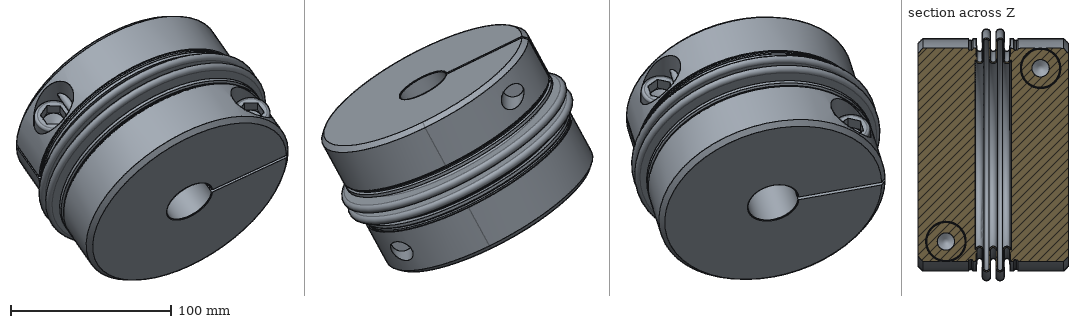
import cadquery as cq
import math


overall_length = 93.81
half_length = overall_length / 2
hub_radius = 145 / 2
bore_diameter = 32.0
bore_chamfer = 0.5
hub_chamfer = 3.0

crest_outer_radius = 157 / 2
wall_thickness = 1.05
inside_bend = 1.6
outside_bend = inside_bend + wall_thickness
fold_pitch = 2 * (inside_bend + outside_bend)
crest_centre_radius = crest_outer_radius - outside_bend
root_centre_radius = 66.25
root_positions = [-fold_pitch, 0.0, fold_pitch]
end_plate_radius = 68.0
end_plate_outer_face = fold_pitch + inside_bend
hub_inner_face = fold_pitch + outside_bend

groove_radius = 143.2 / 2
groove_valley_radius = 71.2
hub_shoulder = 15.4
groove_flat_end = 14.4
groove_valley = 13.4
collar_start = 12.5
collar_end = 10.5

slot_width = 2.5
slot_end = 12.0
slot_end_in_collar = 11.4
slot_step_radius = 71.5

screw_x = -29.5
screw_y = -54.0
head_diameter = 24.0
head_height = 16.0
head_top = 37.5
head_edge_fillet = 2.0
socket_width = 14.0
socket_depth = 8.0
socket_point_angle = 120.0
shank_diameter = 16.0
shank_length = 50.0
clearance_diameter = 16.3
counterbore_diameter = 25.0
tap_diameter = 14.0

pin_diameter = 5.6
pin_length = 24.0
pin_y = -43.0
pin_z = 42.0


def revolve_about_x(outline):
    solid = outline.close().revolve(360, (0, 0, 0), (1, 0, 0))
    return solid.rotate((0, 0, 0), (1, 0, 0), -90)


def rod(diameter, bottom, top):
    """Cylinder on the screw axis between two heights."""
    return (
        cq.Workplane("XY", origin=(screw_x, screw_y, bottom))
        .circle(diameter / 2)
        .extrude(top - bottom)
    )


def folded_solid(root_bend, crest_bend):
    """Solid of revolution under one skin of the bellows."""
    start = root_positions[0] - root_bend
    outline = cq.Workplane("XY").moveTo(start, 0).lineTo(start, root_centre_radius)
    for root in root_positions:
        outline = outline.threePointArc(
            (root, root_centre_radius - root_bend), (root + root_bend, root_centre_radius)
        )
        if root != root_positions[-1]:
            crest = root + fold_pitch / 2
            outline = (
                outline.lineTo(crest - crest_bend, crest_centre_radius)
                .threePointArc(
                    (crest, crest_centre_radius + crest_bend),
                    (crest + crest_bend, crest_centre_radius),
                )
                .lineTo(root + fold_pitch - root_bend, root_centre_radius)
            )
    return revolve_about_x(outline.lineTo(-start, 0))


def bellows_cavity():
    return folded_solid(outside_bend, inside_bend)


def bellows():
    return folded_solid(inside_bend, outside_bend).cut(bellows_cavity())


def hub_blank():
    """Hub at the -X end with its weld groove, collar and bellows end plate."""
    outline = (
        cq.Workplane("XY")
        .moveTo(-half_length, 0)
        .lineTo(-half_length, hub_radius - hub_chamfer)
        .lineTo(-half_length + hub_chamfer, hub_radius)
        .lineTo(-hub_shoulder, hub_radius)
        .lineTo(-hub_shoulder, groove_radius)
        .lineTo(-groove_flat_end, groove_radius)
        .lineTo(-groove_valley, groove_valley_radius)
        .lineTo(-collar_start, hub_radius)
        .lineTo(-collar_end, hub_radius)
        .lineTo(-collar_end, end_plate_radius)
        .lineTo(-end_plate_outer_face, end_plate_radius)
        .lineTo(-end_plate_outer_face, 0)
    )
    return revolve_about_x(outline)


def bore():
    radius = bore_diameter / 2
    outline = (
        cq.Workplane("XY")
        .moveTo(-half_length, 0)
        .lineTo(-half_length, radius + bore_chamfer)
        .lineTo(-half_length + bore_chamfer, radius)
        .lineTo(0, radius)
        .lineTo(0, 0)
    )
    return revolve_about_x(outline)


def slot_to(end, inner_radius, outer_radius):
    """Radial slot on the -Y side, from the outer end face to a distance from the middle plane."""
    return cq.Workplane("XY").box(
        half_length - end, outer_radius - inner_radius, slot_width, centered=(False, False, True)
    ).translate((-half_length, -outer_radius, 0))


def slot():
    through = slot_to(hub_inner_face, 0, root_centre_radius)
    hub_part = slot_to(slot_end, 0, slot_step_radius)
    collar_part = slot_to(slot_end_in_collar, slot_step_radius, crest_outer_radius)
    return through.union(hub_part).union(collar_part)


def screw_holes():
    counterbore = rod(counterbore_diameter, head_top - head_height, hub_radius)
    clearance = rod(clearance_diameter, 0, head_top - head_height)
    tapped = rod(tap_diameter, -hub_radius, 0)
    return counterbore.union(clearance).union(tapped)


def screw():
    head_bottom = head_top - head_height
    head = rod(head_diameter, head_bottom, head_top)
    head = head.faces(">Z").edges().fillet(head_edge_fillet)
    socket = (
        cq.Workplane("XY", origin=(screw_x, screw_y, head_top))
        .polygon(6, socket_width / math.cos(math.pi / 6))
        .extrude(-socket_depth)
    )
    point_radius = socket_width / 2
    point_depth = point_radius / math.tan(math.radians(socket_point_angle / 2))
    point = cq.Workplane(
        cq.Solid.makeCone(
            point_radius,
            0,
            point_depth,
            pnt=cq.Vector(screw_x, screw_y, head_top - socket_depth),
            dir=cq.Vector(0, 0, -1),
        )
    )
    shank = rod(shank_diameter, head_bottom - shank_length, head_bottom)
    return head.union(shank).cut(socket).cut(point)


def retaining_pin():
    return (
        cq.Workplane("YZ", origin=(screw_x, pin_y, pin_z))
        .circle(pin_diameter / 2)
        .extrude(pin_length / 2, both=True)
    )


def clamping_hub():
    hub = hub_blank().cut(bellows_cavity()).cut(bore()).cut(slot()).cut(screw_holes())
    return hub.union(screw()).union(retaining_pin())


near_hub = clamping_hub()
far_hub = near_hub.rotate((0, 0, 0), (0, 0, 1), 180)
result = bellows().union(near_hub).union(far_hub)